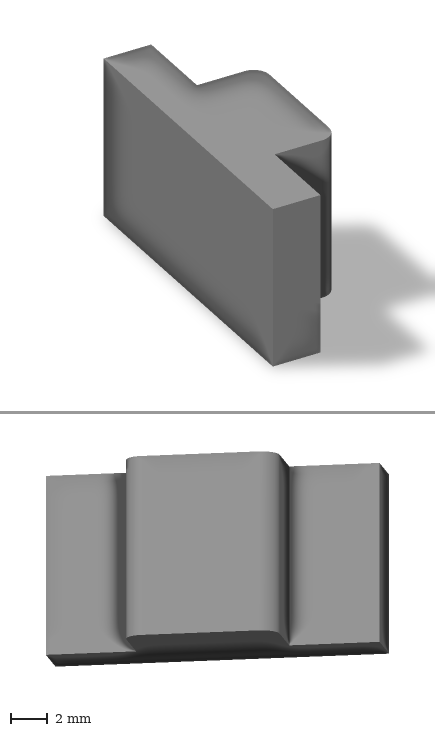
import cadquery as cq

flange_width = 18.5
flange_thickness = 3.0
height = 10.0
tongue_width = 8.5
tongue_depth = 4.0
corner_radius = 1.0


def make_flange():
    """Flat rectangular plate with its outer face on the XZ plane."""
    return cq.Workplane("XY").box(
        flange_width, flange_thickness, height, centered=(True, False, False)
    )


def make_tongue():
    """Full-height block standing on the back of the flange, its two far edges rounded."""
    block = cq.Workplane("XY").box(
        tongue_width, tongue_depth, height, centered=(True, False, False)
    )
    rounded = block.faces(">Y").edges("|Z").fillet(corner_radius)
    return rounded.translate((0, flange_thickness, 0))


result = make_flange().union(make_tongue())